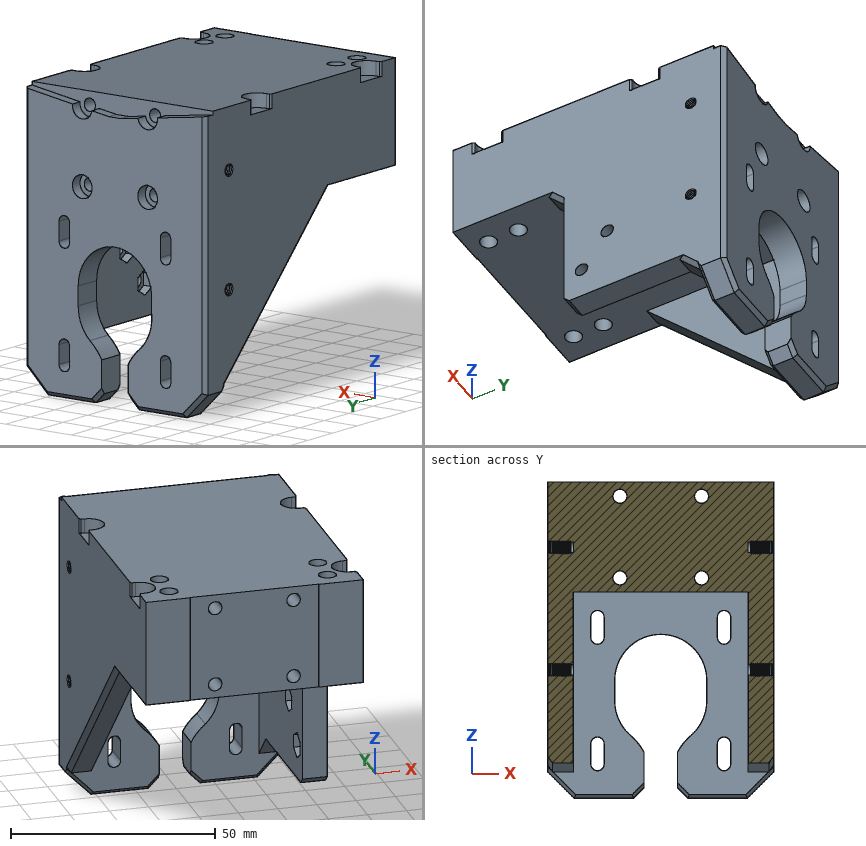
import math

import cadquery as cq

WIDTH = 55.4
DEPTH = 77.6
HEIGHT = 77.5
HALF_WIDTH = WIDTH / 2
OVERCUT = 1.0
EDGE_TOLERANCE = 0.001

BLOCK_HEIGHT = 27.0
FRONT_RECESS_WIDTH = 32.8
FRONT_RECESS_DEPTH = 0.2

PLATE_THICKNESS = 7.55
PLATE_FRONT_Y = DEPTH - PLATE_THICKNESS
PLATE_CORNER = 6.5
THROAT_CORNER = 2.6
FRONT_EDGE_CHAMFER = 0.9
BACK_EDGE_CHAMFER = 1.1

MOTOR_Z = -51.1
MOTOR_TRAVEL = 5.0
MOTOR_HOLE_PITCH = 31.0
MOTOR_SLOT_WIDTH = 3.2
BOSS_RADIUS = 11.25
THROAT_WIDTH = 8.1
THROAT_TOP_Z = -66.2
THROAT_BLEND_RADIUS = 15.0
SHOULDER_ANGLE = 43.0

CAVITY_WIDTH = 42.8
WALL_THICKNESS = (WIDTH - CAVITY_WIDTH) / 2
WALL_FOOT_Z = -(HEIGHT - PLATE_CORNER)
WALL_EDGE_CHAMFER = 1.2
LEFT_SLOPE_END_Y = 25.9
RIGHT_SLOPE_END_Y = 26.8

TAB_FRONT_Y = 31.7
TAB_BOTTOM_Z = -65.0
TAB_CHAMFER = 1.5
TAB_HOLES_YZ = [(36.75, -56.4), (44.1, -47.0)]
TAB_HOLE_DIAMETER = 3.5
NUT_ACROSS_CORNERS = 6.5
NUT_DEPTH = 2.5

RELIEF_DEPTH_Y = 3.1
RELIEF_END_DROP = 0.9
RELIEF_FLAT_WIDTH = 3.7
RELIEF_ANGLE = 8.6

SCREW_PITCH = 20.0
SCREW_TOP_Z = -3.5
SCREW_DIAMETER = 3.4
SCREW_HEAD_DIAMETER = 6.0

VERTICAL_HOLE_DIAMETER = 4.4
VERTICAL_HOLE_X = 20.2
VERTICAL_HOLES_Y = [5.7, 14.2]

NOTCH_WIDTH = 7.6
NOTCH_REACH = 5.1
NOTCH_DEPTH = 3.7
NOTCH_FLARE_WIDTH = 0.6
NOTCH_FLARE_REACH = 0.35
NOTCHES_Y = [9.9, 54.8]

THREAD_MINOR_DIAMETER = 2.53
THREAD_MAJOR_DIAMETER = 3.09
THREAD_PITCH = 0.5
THREAD_Y = DEPTH - 9.65
THREADS_Z = [-16.0, -46.0]


def box(x_range, y_range, z_range):
    """Axis-aligned box from three (low, high) ranges."""
    sizes = [high - low for low, high in (x_range, y_range, z_range)]
    corner = (x_range[0], y_range[0], z_range[0])
    return cq.Workplane("XY").box(*sizes, centered=False).translate(corner)


def rod(start, direction, diameter, length):
    """Cylinder starting at a point and running along a direction."""
    return cq.Workplane(cq.Solid.makeCylinder(
        diameter / 2, length, cq.Vector(*start), cq.Vector(*direction)))


def along_y(points_xz, y_start, length):
    """Closed polygon in X and Z, extruded toward +Y."""
    plane = cq.Workplane("XZ", origin=(0, y_start, 0))
    return plane.polyline(points_xz).close().extrude(-length)


def make_block():
    block = box((-HALF_WIDTH, HALF_WIDTH), (0, PLATE_FRONT_Y), (-BLOCK_HEIGHT, 0))
    half_recess = FRONT_RECESS_WIDTH / 2
    recess = box((-half_recess, half_recess), (-OVERCUT, FRONT_RECESS_DEPTH),
                 (-BLOCK_HEIGHT - OVERCUT, OVERCUT))
    return block.cut(recess)


def make_plate():
    half_throat = THROAT_WIDTH / 2
    throat_edge_x = half_throat + THROAT_CORNER
    lower_edge_x = HALF_WIDTH - PLATE_CORNER
    right_half = [
        (half_throat, THROAT_TOP_Z),
        (half_throat, -HEIGHT + THROAT_CORNER),
        (throat_edge_x, -HEIGHT),
        (lower_edge_x, -HEIGHT),
        (HALF_WIDTH, -HEIGHT + PLATE_CORNER),
        (HALF_WIDTH, 0),
    ]
    left_half = [(-x, z) for x, z in reversed(right_half)]
    plate = along_y(right_half + left_half, PLATE_FRONT_Y, PLATE_THICKNESS)

    def is_lower_outline(edge):
        center = edge.Center()
        return center.z < WALL_FOOT_Z and edge.tangentAt(0.5).z ** 2 < 1 - EDGE_TOLERANCE

    def is_back_outline(edge):
        on_side = abs(edge.Center().x) > HALF_WIDTH - EDGE_TOLERANCE
        return on_side or is_lower_outline(edge)

    plate = plate.faces(">Y").edges().filter(is_back_outline).chamfer(BACK_EDGE_CHAMFER)
    return plate.faces("<Y").edges().filter(is_lower_outline).chamfer(FRONT_EDGE_CHAMFER)


def make_wall(slope_end_y):
    """Triangular wall from the block down to the plate's lower corner, on the +X side."""
    outline = [
        (PLATE_FRONT_Y, -BLOCK_HEIGHT),
        (PLATE_FRONT_Y, WALL_FOOT_Z),
        (slope_end_y, -BLOCK_HEIGHT),
    ]
    inner_x = HALF_WIDTH - WALL_THICKNESS
    wall = (cq.Workplane("YZ", origin=(inner_x, 0, 0))
            .polyline(outline).close().extrude(WALL_THICKNESS))
    outer_slope_edge = wall.faces(">X").edges("not(|Y or |Z)")
    return outer_slope_edge.chamfer(WALL_EDGE_CHAMFER)


def make_tab():
    tab = box((HALF_WIDTH - WALL_THICKNESS, HALF_WIDTH), (TAB_FRONT_Y, PLATE_FRONT_Y),
              (TAB_BOTTOM_Z, -BLOCK_HEIGHT))
    return tab.faces("<Y").edges("<Z").chamfer(TAB_CHAMFER)


def cut_motor_openings(body):
    """Slotted boss opening with rounded shoulders above the throat, and four slots."""
    length = PLATE_THICKNESS + 2 * OVERCUT
    half_travel = MOTOR_TRAVEL / 2
    upper_z = MOTOR_Z + half_travel
    lower_z = MOTOR_Z - half_travel
    angle = math.radians(SHOULDER_ANGLE)
    shoulder_x = BOSS_RADIUS * math.sin(angle)
    shoulder_z = lower_z - BOSS_RADIUS * math.cos(angle)
    side_angle = (math.pi / 2 + angle) / 2
    side_x = BOSS_RADIUS * math.sin(side_angle)
    side_z = lower_z - BOSS_RADIUS * math.cos(side_angle)
    throat_x = THROAT_WIDTH / 2

    plane = cq.Workplane("XZ", origin=(0, PLATE_FRONT_Y - OVERCUT, 0))
    opening = (plane.moveTo(-BOSS_RADIUS, upper_z)
               .threePointArc((0, upper_z + BOSS_RADIUS), (BOSS_RADIUS, upper_z))
               .lineTo(BOSS_RADIUS, lower_z)
               .threePointArc((side_x, side_z), (shoulder_x, shoulder_z))
               .radiusArc((throat_x, THROAT_TOP_Z), -THROAT_BLEND_RADIUS)
               .lineTo(-throat_x, THROAT_TOP_Z)
               .radiusArc((-shoulder_x, shoulder_z), -THROAT_BLEND_RADIUS)
               .threePointArc((-side_x, side_z), (-BOSS_RADIUS, lower_z))
               .close().extrude(-length))
    slots = (plane.center(0, MOTOR_Z)
             .rarray(MOTOR_HOLE_PITCH, MOTOR_HOLE_PITCH, 2, 2)
             .slot2D(MOTOR_TRAVEL + MOTOR_SLOT_WIDTH, MOTOR_SLOT_WIDTH, 90)
             .extrude(-length))
    return body.cut(opening).cut(slots)


def cut_tab_holes(body):
    """Through holes in the tab with hexagonal nut pockets on its inner face."""
    inner_x = HALF_WIDTH - WALL_THICKNESS
    for y, z in TAB_HOLES_YZ:
        hole = rod((inner_x - OVERCUT, y, z), (1, 0, 0), TAB_HOLE_DIAMETER,
                   WALL_THICKNESS + 2 * OVERCUT)
        nut = (cq.Workplane("YZ", origin=(inner_x, y, z))
               .transformed(rotate=(0, 0, 90))
               .polygon(6, NUT_ACROSS_CORNERS).extrude(NUT_DEPTH))
        body = body.cut(hole).cut(nut)
    return body


def cut_back_relief(body):
    """Shallow V along the top back edge, lowest at a short flat in the middle."""
    half_flat = RELIEF_FLAT_WIDTH / 2
    slope = math.tan(math.radians(RELIEF_ANGLE))
    flat_z = -RELIEF_END_DROP - (HALF_WIDTH - half_flat) * slope
    outline = [
        (-HALF_WIDTH, OVERCUT),
        (-HALF_WIDTH, -RELIEF_END_DROP),
        (-half_flat, flat_z),
        (half_flat, flat_z),
        (HALF_WIDTH, -RELIEF_END_DROP),
        (HALF_WIDTH, OVERCUT),
    ]
    return body.cut(along_y(outline, DEPTH - RELIEF_DEPTH_Y, RELIEF_DEPTH_Y + OVERCUT))


def cut_screw_holes(body):
    """Four front-to-back screw holes with head counterbores in the back."""
    for x in (-SCREW_PITCH / 2, SCREW_PITCH / 2):
        for z in (SCREW_TOP_Z, SCREW_TOP_Z - SCREW_PITCH):
            hole = rod((x, -OVERCUT, z), (0, 1, 0), SCREW_DIAMETER, DEPTH + 2 * OVERCUT)
            head = rod((x, DEPTH - RELIEF_DEPTH_Y, z), (0, 1, 0), SCREW_HEAD_DIAMETER,
                       RELIEF_DEPTH_Y + OVERCUT)
            body = body.cut(hole).cut(head)
    return body


def cut_vertical_holes(body):
    for x in (-VERTICAL_HOLE_X, VERTICAL_HOLE_X):
        for y in VERTICAL_HOLES_Y:
            body = body.cut(rod((x, y, OVERCUT), (0, 0, -1), VERTICAL_HOLE_DIAMETER,
                                BLOCK_HEIGHT + 2 * OVERCUT))
    return body


def cut_side_notches(body):
    """Round-ended notches in the top side edges, with flared mouths."""
    radius = NOTCH_WIDTH / 2
    mouth = radius + NOTCH_FLARE_WIDTH
    arc_x = HALF_WIDTH - NOTCH_REACH + radius
    flare_x = HALF_WIDTH - NOTCH_FLARE_REACH
    for y in NOTCHES_Y:
        notch = (cq.Workplane("XY", origin=(0, y, -NOTCH_DEPTH))
                 .moveTo(HALF_WIDTH, -mouth)
                 .lineTo(flare_x, -radius)
                 .lineTo(arc_x, -radius)
                 .threePointArc((arc_x - radius, 0), (arc_x, radius))
                 .lineTo(flare_x, radius)
                 .lineTo(HALF_WIDTH, mouth)
                 .close().extrude(NOTCH_DEPTH + OVERCUT))
        body = body.cut(notch).cut(notch.mirror("YZ"))
    return body


def make_thread_cutter():
    """Threaded hole along +X from the origin, with the thread as a row of V rings."""
    major_radius = THREAD_MAJOR_DIAMETER / 2
    minor_radius = THREAD_MINOR_DIAMETER / 2
    outline = [(0, 0)]
    for turn in range(int(WALL_THICKNESS / THREAD_PITCH)):
        start = turn * THREAD_PITCH
        outline.append((start, major_radius))
        outline.append((start + THREAD_PITCH / 2, minor_radius))
    outline.append((WALL_THICKNESS, minor_radius))
    outline.append((WALL_THICKNESS, 0))
    return cq.Workplane("XY").polyline(outline).close().revolve(360, (0, 0, 0), (1, 0, 0))


def cut_threaded_holes(body):
    """Threaded holes into both sides, one wall thickness deep."""
    cutter = make_thread_cutter()
    for z in THREADS_Z:
        left = cutter.translate((-HALF_WIDTH, THREAD_Y, z))
        body = body.cut(left).cut(left.mirror("YZ"))
    return body


result = make_block()
result = result.union(make_plate())
result = result.union(make_wall(LEFT_SLOPE_END_Y).mirror("YZ"))
result = result.union(make_wall(RIGHT_SLOPE_END_Y))
result = result.union(make_tab())
result = cut_motor_openings(result)
result = cut_tab_holes(result)
result = cut_back_relief(result)
result = cut_screw_holes(result)
result = cut_vertical_holes(result)
result = cut_side_notches(result)
result = cut_threaded_holes(result)